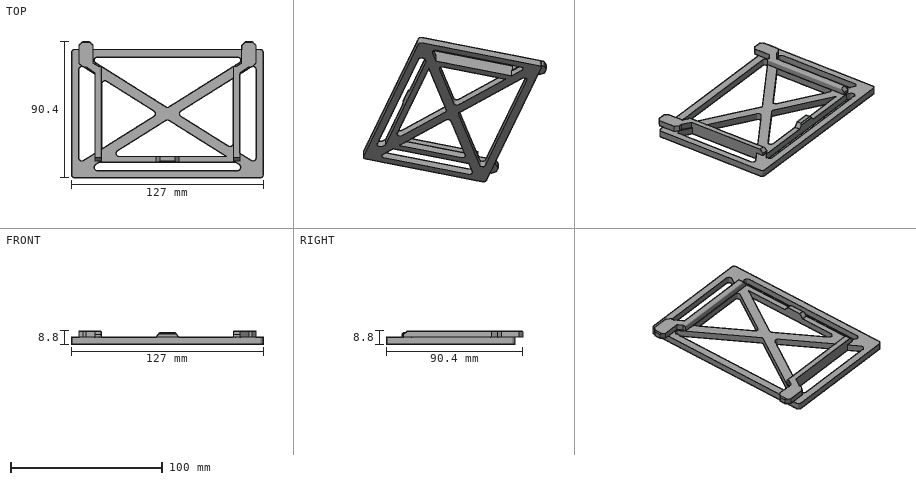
import cadquery as cq
import math

frame_length = 127.0
frame_width = 85.1
frame_thickness = 4.7
corner_radius = 2.0
back_opening_radius = 1.5
side_rail = 4.8
front_rail = 4.8
back_rail = 5.3

brace_width = 6.6
brace_slope = 0.627
bar_outer_x = 48.0
bar_inner_x = 43.4
slot_half_length = 48.4
cross_bar_front_y = -32.3
cross_bar_back_y = -28.3

total_height = 8.8
arm_inner_x = 43.7
arm_edge_radius = 1.0
arm_front_y = -31.5
arm_front_chamfer = 2.4
head_inner_x = 49.1
head_outer_x = frame_length / 2 - side_rail
head_back_y = 47.9
head_corner_chamfer = 2.7
head_tip_chamfer = 0.8
head_front_y = 33.4
neck_step_y = 31.0
neck_step_outer_x = 56.0
neck_step_inner_x = 53.8
neck_front_y = 26.9
neck_inner_x = 45.7
neck_inner_y = 31.4

catch_base_half = 7.6
catch_top_half = 5.1
catch_height = 3.0
catch_chamfer = 0.9

window_x = frame_length / 2 - side_rail
window_front_y = -frame_width / 2 + front_rail
window_back_y = frame_width / 2 - back_rail
brace_edge_y = brace_width / 2 * math.hypot(1, brace_slope)
brace_edge_x = brace_edge_y / brace_slope


def brace_edge_rise(x):
    """Height above the X axis of the outer brace edge at x."""
    return brace_edge_y + brace_slope * x


def brace_edge_drop(x):
    """Height above the X axis of the inner brace edge at x."""
    return brace_slope * (x - brace_edge_x)


def prism(points, base_z, height):
    return cq.Workplane("XY").workplane(offset=base_z).polyline(points).close().extrude(height)


def mirror_x(points):
    return [(-x, y) for x, y in points]


def hole(points, sharp_corners=(), radius=corner_radius):
    """Through-hole cutter with rounded corners, except at the listed points."""
    cutter = prism(points, 0, frame_thickness)
    edges = cutter.edges("|Z")
    for x, y in sharp_corners:
        reach = radius / 2
        edges = edges.filter(
            lambda e, x=x, y=y: math.hypot(e.Center().x - x, e.Center().y - y) > reach
        )
    return edges.fillet(radius)


def make_frame():
    frame = cq.Workplane("XY").rect(frame_length, frame_width).extrude(frame_thickness)
    frame = frame.edges("|Z").fillet(corner_radius)

    back_side_y = brace_edge_rise(slot_half_length)
    frame = frame.cut(hole([
        (0, brace_edge_y),
        (slot_half_length, back_side_y),
        (slot_half_length, window_back_y),
        (-slot_half_length, window_back_y),
        (-slot_half_length, back_side_y),
    ], radius=back_opening_radius))

    opening_x = (-cross_bar_back_y - brace_edge_y) / brace_slope
    sharp_corner = (opening_x, cross_bar_back_y)
    frame = frame.cut(hole(
        [(0, -brace_edge_y), sharp_corner, (-opening_x, cross_bar_back_y)],
        [sharp_corner],
    ))

    trim_x = (-cross_bar_front_y - brace_edge_y) / brace_slope
    frame = frame.cut(hole([
        (-trim_x, cross_bar_front_y),
        (trim_x, cross_bar_front_y),
        (slot_half_length, -back_side_y),
        (slot_half_length, window_front_y),
        (-slot_half_length, window_front_y),
        (-slot_half_length, -back_side_y),
    ], [(-trim_x, cross_bar_front_y), (trim_x, cross_bar_front_y)]))

    outer_y = brace_edge_drop(window_x)
    inner_y = brace_edge_drop(bar_outer_x)
    bar_corners = [(bar_outer_x, inner_y), (bar_outer_x, -inner_y)]
    side_slot = bar_corners + [(window_x, -outer_y), (window_x, outer_y)]
    frame = frame.cut(hole(side_slot, bar_corners))
    frame = frame.cut(hole(mirror_x(side_slot), mirror_x(bar_corners)))

    triangle_y = brace_edge_drop(bar_inner_x)
    sharp_corner = (bar_inner_x, triangle_y)
    triangle = hole([(brace_edge_x, 0), (bar_inner_x, -triangle_y), sharp_corner], [sharp_corner])
    frame = frame.cut(triangle)
    return frame.cut(triangle.rotate((0, 0, 0), (0, 0, 1), 180))


def make_arm():
    """The +X arm: a long rail that steps outward to a head overhanging the back edge."""
    outline = [
        (arm_inner_x, arm_front_y),
        (bar_outer_x, arm_front_y),
        (bar_outer_x, neck_front_y),
        (neck_step_inner_x, neck_step_y),
        (neck_step_outer_x, neck_step_y),
        (head_outer_x, head_front_y),
        (head_outer_x, head_back_y - head_corner_chamfer),
        (head_outer_x - head_corner_chamfer, head_back_y),
        (head_inner_x + head_corner_chamfer, head_back_y),
        (head_inner_x, head_back_y - head_corner_chamfer),
        (head_inner_x, head_front_y),
        (neck_inner_x, neck_inner_y),
        (arm_inner_x, neck_inner_y),
    ]
    arm = prism(outline, frame_thickness, total_height - frame_thickness)
    arm = arm.faces("<X").edges(">Z").fillet(arm_edge_radius)
    arm = arm.faces(">Y").edges(">Z").chamfer(head_tip_chamfer)
    front_bevel = (
        cq.Workplane("YZ")
        .moveTo(arm_front_y, total_height)
        .lineTo(arm_front_y + arm_front_chamfer, total_height)
        .lineTo(arm_front_y, total_height - arm_front_chamfer)
        .close()
        .extrude(frame_length)
    )
    return arm.cut(front_bevel)


def make_catch():
    catch_top_z = frame_thickness + catch_height
    catch = (
        cq.Workplane("XZ", origin=(0, cross_bar_back_y, 0))
        .moveTo(-catch_base_half, frame_thickness)
        .lineTo(catch_base_half, frame_thickness)
        .lineTo(catch_top_half, catch_top_z)
        .lineTo(-catch_top_half, catch_top_z)
        .close()
        .extrude(cross_bar_back_y - cross_bar_front_y)
    )
    return catch.faces("<Y").edges(">Z").chamfer(catch_chamfer)


arm = make_arm()
result = make_frame().union(arm).union(arm.mirror("YZ")).union(make_catch())